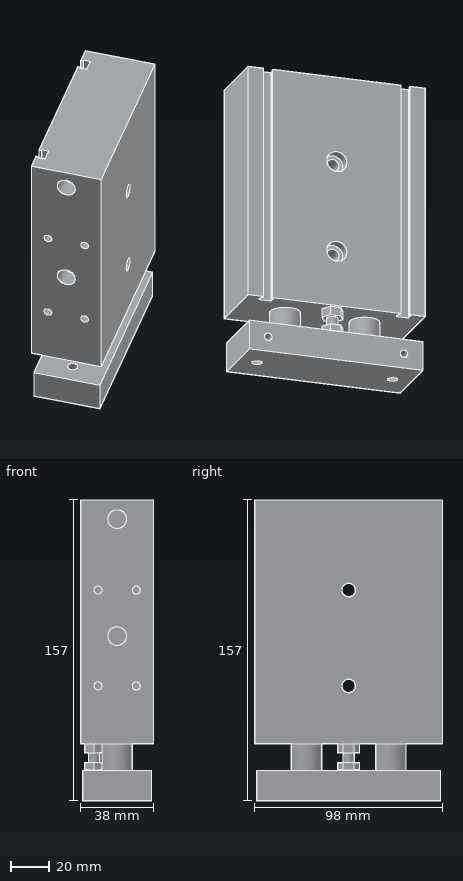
import cadquery as cq

TOTAL_HEIGHT = 157.0
ROD_GAP = 13.75

PLATE_X = 36.0
PLATE_Y = 96.0
PLATE_Z = 16.0
ROD_DIAMETER = 16.0
ROD_OFFSET_Y = 22.0
PLATE_HOLE_OFFSET_Y = 37.5
PLATE_BORE_DIAMETER = 5.2
PLATE_SIDE_HOLE_DIAMETER = 4.13
PLATE_SIDE_HOLE_DEPTH = 8.0

HOUSING_X = 38.0
HOUSING_Y = 98.0
HOUSING_BOTTOM = PLATE_Z + ROD_GAP
HOUSING_Z = TOTAL_HEIGHT - HOUSING_BOTTOM

SLOT_OFFSET_Y = 38.0
SLOT_NECK_WIDTH = 5.0
SLOT_WIDTH = 6.6
SLOT_LIP = 1.4
SLOT_DEPTH = 5.0

MOUNT_HOLE_DIAMETER = 6.9
MOUNT_BORE_DIAMETER = 11.0
MOUNT_BORE_DEPTH = 6.5

SIDE_HOLE_DIAMETER = 4.13
SIDE_HOLE_DEPTH = 8.0
SIDE_HOLE_OFFSET_X = 10.0
HOLE_ROW_HEIGHTS = (60.0, 110.0)
PORT_DIAMETER = 9.73
PORT_DEPTH = 10.0
PORT_HEIGHTS = (86.0, 147.0)

BOLT_X = -12.0
BOLT_DIAMETER = 6.0
HEX_ACROSS_CORNERS = 11.55
BOLT_HEAD_HEIGHT = 4.7
LOCK_NUT_HEIGHT = 3.75
NUT_CLEARANCE = 0.25


def cylinder(start, direction, diameter, length):
    """Solid cylinder that runs from a start point along a direction."""
    solid = cq.Solid.makeCylinder(diameter / 2, length, cq.Vector(*start), cq.Vector(*direction))
    return cq.Workplane(obj=solid)


def block(size_x, size_y, size_z, bottom):
    """Box centred on the Z axis with its underside at the given height."""
    return cq.Workplane(origin=(0, 0, bottom)).box(size_x, size_y, size_z, centered=(True, True, False))


def hex_prism(bottom, height):
    """Hexagon on the bolt axis with two corners pointing along Y."""
    flat = cq.Workplane(origin=(BOLT_X, 0, bottom)).transformed(rotate=(0, 0, 90))
    return flat.polygon(6, HEX_ACROSS_CORNERS).extrude(height)


def t_slot(center_y):
    """Cutter for one T-slot running the full height of the housing."""
    face_x = -HOUSING_X / 2
    base = cq.Workplane(origin=(face_x, center_y, HOUSING_BOTTOM))
    neck = base.box(SLOT_DEPTH, SLOT_NECK_WIDTH, HOUSING_Z, centered=(False, True, False))
    channel = base.center(SLOT_LIP, 0).box(
        SLOT_DEPTH - SLOT_LIP, SLOT_WIDTH, HOUSING_Z, centered=(False, True, False)
    )
    return neck.union(channel)


def make_housing():
    housing = block(HOUSING_X, HOUSING_Y, HOUSING_Z, HOUSING_BOTTOM)
    face_x = -HOUSING_X / 2
    face_y = -HOUSING_Y / 2
    for side in (-1, 1):
        housing = housing.cut(t_slot(side * SLOT_OFFSET_Y))
    for z in HOLE_ROW_HEIGHTS:
        housing = housing.cut(cylinder((face_x, 0, z), (1, 0, 0), MOUNT_HOLE_DIAMETER, HOUSING_X))
        housing = housing.cut(cylinder((face_x, 0, z), (1, 0, 0), MOUNT_BORE_DIAMETER, MOUNT_BORE_DEPTH))
        for x in (-SIDE_HOLE_OFFSET_X, SIDE_HOLE_OFFSET_X):
            housing = housing.cut(cylinder((x, face_y, z), (0, 1, 0), SIDE_HOLE_DIAMETER, SIDE_HOLE_DEPTH))
    for z in PORT_HEIGHTS:
        housing = housing.cut(cylinder((0, face_y, z), (0, 1, 0), PORT_DIAMETER, PORT_DEPTH))
    return housing


def make_rod_plate():
    """Moving plate in one piece with the two guide rods."""
    plate = block(PLATE_X, PLATE_Y, PLATE_Z, 0)
    for side in (-1, 1):
        rod_start = (0, side * ROD_OFFSET_Y, PLATE_Z)
        plate = plate.union(cylinder(rod_start, (0, 0, 1), ROD_DIAMETER, ROD_GAP))
        hole_y = side * PLATE_HOLE_OFFSET_Y
        plate = plate.cut(cylinder((0, hole_y, 0), (0, 0, 1), PLATE_BORE_DIAMETER, PLATE_Z))
        side_start = (-PLATE_X / 2, hole_y, PLATE_Z / 2)
        plate = plate.cut(
            cylinder(side_start, (1, 0, 0), PLATE_SIDE_HOLE_DIAMETER, PLATE_SIDE_HOLE_DEPTH)
        )
    return plate


def make_stopper_bolt():
    """Bolt with its head against the housing and a lock nut just above the plate."""
    foot = (BOLT_X, 0, PLATE_Z)
    bolt = cylinder(foot, (0, 0, 1), BOLT_DIAMETER, ROD_GAP)
    bolt = bolt.union(hex_prism(PLATE_Z + NUT_CLEARANCE, LOCK_NUT_HEIGHT))
    return bolt.union(hex_prism(HOUSING_BOTTOM - BOLT_HEAD_HEIGHT, BOLT_HEAD_HEIGHT))


housing = make_housing()
rod_plate = make_rod_plate()
stopper_bolt = make_stopper_bolt()

result = cq.Compound.makeCompound([housing.val(), rod_plate.val(), stopper_bolt.val()])